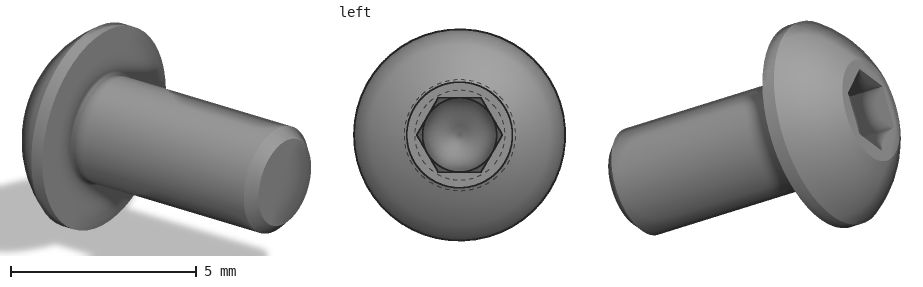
import cadquery as cq
import math

head_diameter = 5.7
head_height = 1.65
rim_width = 0.37
face_diameter = head_diameter / 2
shank_diameter = 3.0
shank_length = 6.0
neck_fillet = 0.1
tip_diameter = 2.43
tip_chamfer = (shank_diameter - tip_diameter) / 2
socket_across_flats = 2.0
socket_depth = 1.04
socket_cone_angle = 120.0

head_radius = head_diameter / 2
face_radius = face_diameter / 2
shank_radius = shank_diameter / 2
total_length = head_height + shank_length
dome_height = head_height - rim_width


def dome_midpoint():
    """Point halfway along the dome arc, whose centre lies on the screw axis."""
    centre_x = (dome_height**2 + head_radius**2 - face_radius**2) / (2 * dome_height)
    dome_radius = math.hypot(centre_x, face_radius)
    face_angle = math.atan2(face_radius, centre_x)
    rim_angle = math.atan2(head_radius, centre_x - dome_height)
    middle_angle = (face_angle + rim_angle) / 2
    return (
        centre_x - dome_radius * math.cos(middle_angle),
        dome_radius * math.sin(middle_angle),
    )


def make_body():
    """Head and shank, revolved about X from a half profile."""
    fillet_offset = neck_fillet * (1 - math.sqrt(0.5))
    return (
        cq.Workplane("XY")
        .lineTo(0, face_radius)
        .threePointArc(dome_midpoint(), (dome_height, head_radius))
        .lineTo(head_height, head_radius)
        .lineTo(head_height, shank_radius + neck_fillet)
        .threePointArc(
            (head_height + fillet_offset, shank_radius + fillet_offset),
            (head_height + neck_fillet, shank_radius),
        )
        .lineTo(total_length - tip_chamfer, shank_radius)
        .lineTo(total_length, tip_diameter / 2)
        .lineTo(total_length, 0)
        .close()
        .revolve(360, (0, 0, 0), (1, 0, 0))
    )


def make_socket():
    """Hexagonal recess with a conical bottom; two of its corners point along Y."""
    across_corners = socket_across_flats / math.cos(math.pi / 6)
    hexagon = cq.Workplane("YZ").polygon(6, across_corners).extrude(socket_depth)
    cone_radius = socket_across_flats / 2
    cone_depth = cone_radius / math.tan(math.radians(socket_cone_angle / 2))
    cone = (
        cq.Workplane("XY")
        .moveTo(socket_depth, 0)
        .lineTo(socket_depth, cone_radius)
        .lineTo(socket_depth + cone_depth, 0)
        .close()
        .revolve(360, (0, 0, 0), (1, 0, 0))
    )
    return hexagon.union(cone)


result = make_body().cut(make_socket())